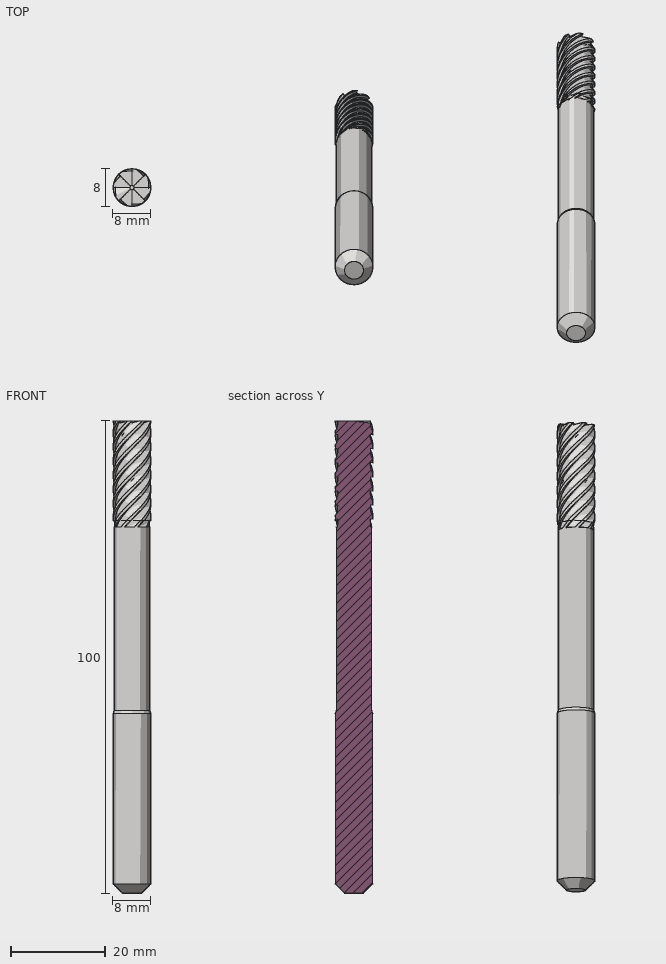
import cadquery as cq
import math

total_length = 100.0
radius = 4.0
shank_chamfer = 2.0

neck_radius = 3.8
shank_top = 38.1
neck_bottom = 38.7
head_bottom = 78.9

flute_count = 8
flute_bottom = 77.5
helix_lead = 23.8
flute_depth = 0.5
floor_angle = 10.0
flute_angle = 32.0

gash_inner_radius = 0.4
gash_depth_ratio = 0.12
gash_width_ratio = 0.5

cut_clearance = 0.3
tooth_pitch = 360.0 / flute_count


def polar(distance, angle):
    """Point at the given distance from the axis and angle in degrees."""
    return (distance * math.cos(math.radians(angle)), distance * math.sin(math.radians(angle)))


def make_body():
    """Turned body: chamfered shank, tapered shoulder and neck."""
    return (
        cq.Workplane("XZ")
        .moveTo(0, 0)
        .lineTo(radius - shank_chamfer, 0)
        .lineTo(radius, shank_chamfer)
        .lineTo(radius, shank_top)
        .lineTo(neck_radius, neck_bottom)
        .lineTo(neck_radius, flute_bottom)
        .lineTo(0, flute_bottom)
        .close()
        .revolve(360, (0, 0, 0), (0, 1, 0))
    )


def make_fluted_length(bottom, top, land_radius):
    """Twisted toothed bar with radial rake walls, sloping tooth backs and round lands."""
    floor_radius = radius - flute_depth
    start = -360.0 * (total_length - bottom) / helix_lead
    section = cq.Workplane("XY").workplane(offset=bottom).moveTo(*polar(land_radius, start))
    for tooth in range(flute_count):
        rake = start + tooth * tooth_pitch
        next_rake = rake + tooth_pitch
        land_start = rake + flute_angle
        land_middle = (land_start + next_rake) / 2
        section = (
            section.lineTo(*polar(floor_radius, rake))
            .lineTo(*polar(floor_radius, rake + floor_angle))
            .lineTo(*polar(land_radius, land_start))
            .threePointArc(polar(land_radius, land_middle), polar(land_radius, next_rake))
        )
    height = top - bottom
    return section.close().twistExtrude(height, 360.0 * height / helix_lead)


def gash_section(distance):
    """Triangle with a vertical tooth wall and a floor rising to the next tooth."""
    depth = gash_depth_ratio * distance
    width = gash_width_ratio * distance
    return cq.Wire.makePolygon([
        cq.Vector(distance, 0, total_length),
        cq.Vector(distance, 0, total_length - depth),
        cq.Vector(distance, width, total_length),
    ], close=True)


def make_gash():
    """Wedge widening and deepening from the centre to beyond the rim."""
    sections = [gash_section(gash_inner_radius), gash_section(radius + cut_clearance)]
    return cq.Workplane(cq.Solid.makeLoft(sections, True))


runout = make_fluted_length(flute_bottom, head_bottom, neck_radius)
head = make_fluted_length(head_bottom, total_length, radius)
gash = make_gash()
for tooth in range(flute_count):
    head = head.cut(gash.rotate((0, 0, 0), (0, 0, 1), tooth * tooth_pitch))
body = make_body().union(runout).union(head)
result = cq.Workplane(body.solids().val())